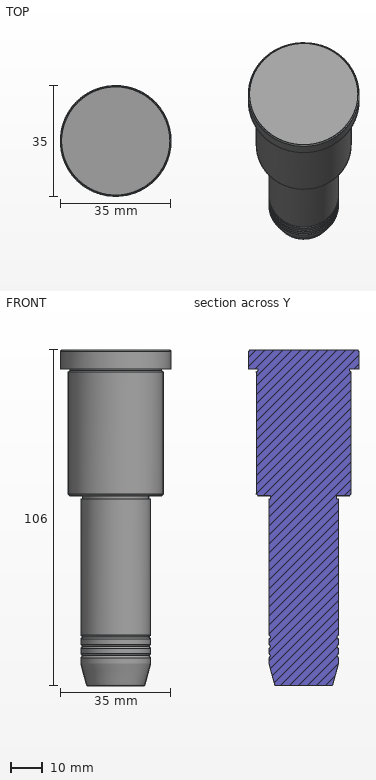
import cadquery as cq

total_length = 106.0
head_height = 6.0
body_length = 40.0
head_radius = 17.5
body_radius = 15.0
shank_radius = 11.0
head_bottom = total_length - head_height
body_bottom = head_bottom - body_length

head_edge = 0.4
body_edge = 0.5
relief_depth = 0.5
relief_height = 1.0

taper_length = 7.0
tip_radius = 9.1
tip_edge = 0.5

groove_count = 3
groove_pitch = 3.0
first_groove_center = 9.5
groove_width = 1.3
groove_depth = 0.5


def cylinder(radius, bottom, top):
    """Solid cylinder around Z between two heights."""
    return cq.Workplane("XY").workplane(offset=bottom).circle(radius).extrude(top - bottom)


def v_groove(center):
    """V-shaped ring to remove from the shank."""
    half_width = groove_width / 2
    return (
        cq.Workplane("XZ")
        .moveTo(shank_radius, center - half_width)
        .lineTo(shank_radius - groove_depth, center)
        .lineTo(shank_radius, center + half_width)
        .close()
        .revolve(360, (0, 0, 0), (0, 1, 0))
    )


head = cylinder(head_radius, head_bottom, total_length).faces(">Z").edges().chamfer(head_edge)
body_top = head_bottom - relief_height + body_edge
body = cylinder(body_radius, body_bottom, body_top).edges().chamfer(body_edge)
body_neck = cylinder(body_radius - relief_depth, body_top, head_bottom)

shank_top = body_bottom - relief_height
shank = cylinder(shank_radius, taper_length, shank_top)
shank_neck = cylinder(shank_radius - relief_depth, shank_top, body_bottom)
tip = (
    cq.Workplane("XY")
    .circle(tip_radius)
    .workplane(offset=taper_length)
    .circle(shank_radius)
    .loft(ruled=True)
    .faces("<Z")
    .edges()
    .fillet(tip_edge)
)

result = head.union(body_neck).union(body).union(shank_neck).union(shank).union(tip)
for index in range(groove_count):
    result = result.cut(v_groove(first_groove_center + index * groove_pitch))